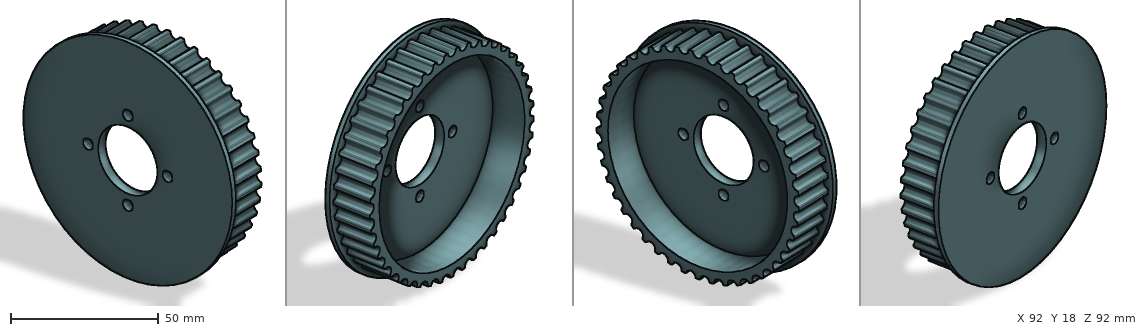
import cadquery as cq
import math

flange_diameter = 92.0
flange_thickness = 2.0
overall_width = 18.0
tip_diameter = 88.0

tooth_count = 45
groove_depth = 2.06
groove_radius = 2.08
tip_fillet = 0.43

recess_diameter = 78.0
web_thickness = 4.0
bore_diameter = 26.0
bolt_hole_diameter = 4.3
bolt_circle_diameter = 35.0
bolt_count = 4

tip_radius = tip_diameter / 2
root_radius = tip_radius - groove_depth
pitch_angle = 2 * math.pi / tooth_count
first_groove_angle = math.pi / 2


def polar(radius, angle):
    return (radius * math.cos(angle), radius * math.sin(angle))


def between(start, end, fraction):
    """Point on the straight line from start to end."""
    return tuple(a + (b - a) * fraction for a, b in zip(start, end))


def arc_middle(center, radius, start, end):
    """Middle point of the shorter arc about center from start to end."""
    chord_middle = between(start, end, 0.5)
    return between(center, chord_middle, radius / math.dist(center, chord_middle))


def disc(diameter, start_y, end_y):
    """Cylinder about the Y axis between two Y positions."""
    plane = cq.Workplane("XZ", origin=(0, start_y, 0))
    return plane.circle(diameter / 2).extrude(start_y - end_y)


def tooth_outline():
    """Closed rim outline: round grooves blended into the tip circle by fillets."""
    groove_center_radius = root_radius + groove_radius
    fillet_center_radius = tip_radius - tip_fillet
    center_distance = groove_radius + tip_fillet
    fillet_offset = math.acos(
        (groove_center_radius**2 + fillet_center_radius**2 - center_distance**2)
        / (2 * groove_center_radius * fillet_center_radius)
    )
    outline = cq.Workplane("XZ", origin=(0, flange_thickness, 0))
    outline = outline.moveTo(*polar(tip_radius, first_groove_angle - fillet_offset))
    for index in range(tooth_count):
        angle = first_groove_angle + index * pitch_angle
        groove_center = polar(groove_center_radius, angle)
        root = polar(root_radius, angle)
        fillet_in = polar(fillet_center_radius, angle - fillet_offset)
        fillet_out = polar(fillet_center_radius, angle + fillet_offset)
        tip_in = polar(tip_radius, angle - fillet_offset)
        tip_out = polar(tip_radius, angle + fillet_offset)
        flank_in = between(groove_center, fillet_in, groove_radius / center_distance)
        flank_out = between(groove_center, fillet_out, groove_radius / center_distance)
        next_tip = polar(tip_radius, angle + pitch_angle - fillet_offset)
        outline = (
            outline
            .threePointArc(arc_middle(fillet_in, tip_fillet, tip_in, flank_in), flank_in)
            .threePointArc(root, flank_out)
            .threePointArc(arc_middle(fillet_out, tip_fillet, flank_out, tip_out), tip_out)
            .threePointArc(polar(tip_radius, angle + pitch_angle / 2), next_tip)
        )
    return outline.close()


def toothed_body():
    """Flange disc joined to the solid toothed rim."""
    flange = disc(flange_diameter, 0, flange_thickness)
    rim = tooth_outline().extrude(flange_thickness - overall_width)
    return flange.union(rim)


def bolt_holes():
    """Cutting cylinders for the bolt holes around the bore."""
    circle = cq.Workplane("XZ").polarArray(bolt_circle_diameter / 2, 0, 360, bolt_count)
    return circle.circle(bolt_hole_diameter / 2).extrude(-overall_width)


recess = disc(recess_diameter, web_thickness, overall_width)
bore = disc(bore_diameter, 0, overall_width)

result = toothed_body()
for cutter in (recess, bore, bolt_holes()):
    result = result.cut(cutter)